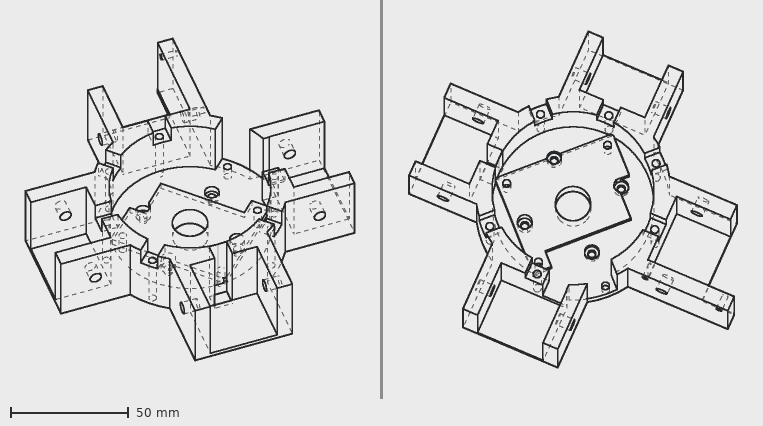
import cadquery as cq
import math

height = 32.0

ring_inner_radius = 34.4
wall = 7.0
ring_outer_radius = ring_inner_radius + wall
tray_top = 6.0
centre_hole_diameter = 15.0

east, north_east, north, north_west, west, south_west, south, south_east = range(0, 360, 45)
straight_angles = [east, north, west, south]
arm_angles = [north_east, north_west, south_west, south_east]

pocket_length = 25.0
pocket_nominal_width = 30.0
pocket_clearance = 0.15
pocket_width = pocket_nominal_width + 2 * pocket_clearance
pocket_floor = 2.0
arm_end = ring_outer_radius + pocket_length
arm_width = pocket_nominal_width + 2 * wall

cross_hole_diameter = 5.0
cross_hole_radius = 50.7
cross_hole_height = (height + pocket_floor) / 2

long_wall_extension = 15.0
long_wall_end = arm_end + long_wall_extension
long_wall_hole_diameter = 2.5
long_wall_hole_radii = [43.0, 77.2]
long_wall_hole_height = 27.2

notch_width = 8.0
notch_depth = 8.0
notch_floor = height - notch_depth
seat_hole_radius = (ring_inner_radius + ring_outer_radius) / 2
screw_hole_diameter = 3.3

tray_screw_radius = 22.0
counterbore_diameter = 6.2
counterbore_floor = 3.0

plate_top = 9.0
plate_half_x = 26.9
plate_half_y = 22.4
plate_tab_x = 18.5
plate_tab_y = 15.0
plate_step_x = -20.6
plate_step_y = -3.0
plate_hole_inset = 3.9


def cylinder(diameter, x, y, bottom, top):
    """Vertical cylinder between two heights."""
    return cq.Workplane("XY", origin=(x, y, bottom)).circle(diameter / 2).extrude(top - bottom)


def radial_box(start, end, right, left, bottom, top, angle):
    """Box from radius start to end, reaching right and left of the radial line at the angle."""
    box = cq.Workplane("XY").box(end - start, left - right, top - bottom, centered=False)
    return box.translate((start, right, bottom)).rotate((0, 0, 0), (0, 0, 1), angle)


def radial_cross_hole(diameter, radius, level, start, end, angle):
    """Horizontal hole square to the radial line at the angle, between two sideways offsets."""
    hole = cq.Workplane("XZ", origin=(radius, start, level)).circle(diameter / 2).extrude(start - end)
    return hole.rotate((0, 0, 0), (0, 0, 1), angle)


def polar(radius, angle):
    """X and Y of a point given by radius and angle in degrees."""
    return radius * math.cos(math.radians(angle)), radius * math.sin(math.radians(angle))


def make_body():
    """Ring and arms as a solid block, with the long wall, hollowed by the pockets and the tray."""
    body = cylinder(2 * ring_outer_radius, 0, 0, 0, height)
    half = arm_width / 2
    for angle in arm_angles:
        body = body.union(radial_box(0, arm_end, -half, half, 0, height, angle))
    long_wall = radial_box(ring_outer_radius, long_wall_end, -half, wall - half, 0, height, north_west)
    body = body.union(long_wall)
    pocket_half = pocket_width / 2
    for angle in arm_angles:
        end = long_wall_end if angle == north_west else arm_end
        pocket = radial_box(
            ring_outer_radius, end, -pocket_half, pocket_half, pocket_floor, height, angle
        )
        body = body.cut(pocket)
    return body.cut(cylinder(2 * ring_inner_radius, 0, 0, tray_top, height))


def make_plate():
    """Stepped plate on the tray, with a tab at its north-east corner."""
    outline = [
        (-plate_half_x, -plate_half_y),
        (plate_half_x, -plate_half_y),
        (plate_half_x, plate_half_y),
        (plate_tab_x, plate_half_y),
        (plate_tab_x, plate_tab_y),
        (plate_step_x, plate_tab_y),
        (plate_step_x, plate_step_y),
        (-plate_half_x, plate_step_y),
    ]
    return cq.Workplane("XY").polyline(outline).close().extrude(plate_top)


def make_ring_opening():
    """Part of the ring removed above the tray, from the north notch to the north-east notch."""
    half = notch_width / 2
    full_ring = cylinder(2 * ring_outer_radius, 0, 0, tray_top, height)
    east_of_notch = radial_box(0, ring_outer_radius, -ring_outer_radius, half, tray_top, height, north)
    beyond_seat = radial_box(
        0, ring_outer_radius, half, ring_outer_radius, tray_top, height, north_east
    )
    sector = full_ring.intersect(east_of_notch).intersect(beyond_seat)
    into_pocket = radial_box(
        ring_inner_radius, ring_outer_radius, half, pocket_nominal_width / 2, tray_top, height, north_east
    )
    return sector.union(into_pocket)


def cut_notches(body):
    """Rim notches with a screw hole each; the south-east one goes right through instead."""
    half = notch_width / 2
    for angle in straight_angles + arm_angles:
        bottom = 0 if angle == south_east else notch_floor
        start = ring_inner_radius if angle == south_east else 0
        body = body.cut(radial_box(start, ring_outer_radius, -half, half, bottom, height, angle))
        x, y = polar(seat_hole_radius, angle)
        body = body.cut(cylinder(screw_hole_diameter, x, y, 0, height))
    return body


def cut_tray_holes(body):
    """Centre hole, counterbored holes around it and the three plate corner holes."""
    body = body.cut(cylinder(centre_hole_diameter, 0, 0, 0, height))
    for angle in straight_angles:
        x, y = polar(tray_screw_radius, angle)
        body = body.cut(cylinder(screw_hole_diameter, x, y, 0, height))
        body = body.cut(cylinder(counterbore_diameter, x, y, counterbore_floor, height))
    hole_x = plate_half_x - plate_hole_inset
    hole_y = plate_half_y - plate_hole_inset
    for x, y in [(hole_x, hole_y), (hole_x, -hole_y), (-hole_x, -hole_y)]:
        body = body.cut(cylinder(screw_hole_diameter, x, y, 0, height))
    return body


def cut_wall_holes(body):
    """Cross holes through the arm walls and the two small holes in the long wall."""
    half = arm_width / 2
    for angle in arm_angles:
        body = body.cut(
            radial_cross_hole(cross_hole_diameter, cross_hole_radius, cross_hole_height, -half, half, angle)
        )
    for radius in long_wall_hole_radii:
        body = body.cut(
            radial_cross_hole(long_wall_hole_diameter, radius, long_wall_hole_height, -half, 0, north_west)
        )
    return body


result = make_body().cut(make_ring_opening()).union(make_plate())
result = cut_notches(result)
result = cut_tray_holes(result)
result = cut_wall_holes(result)